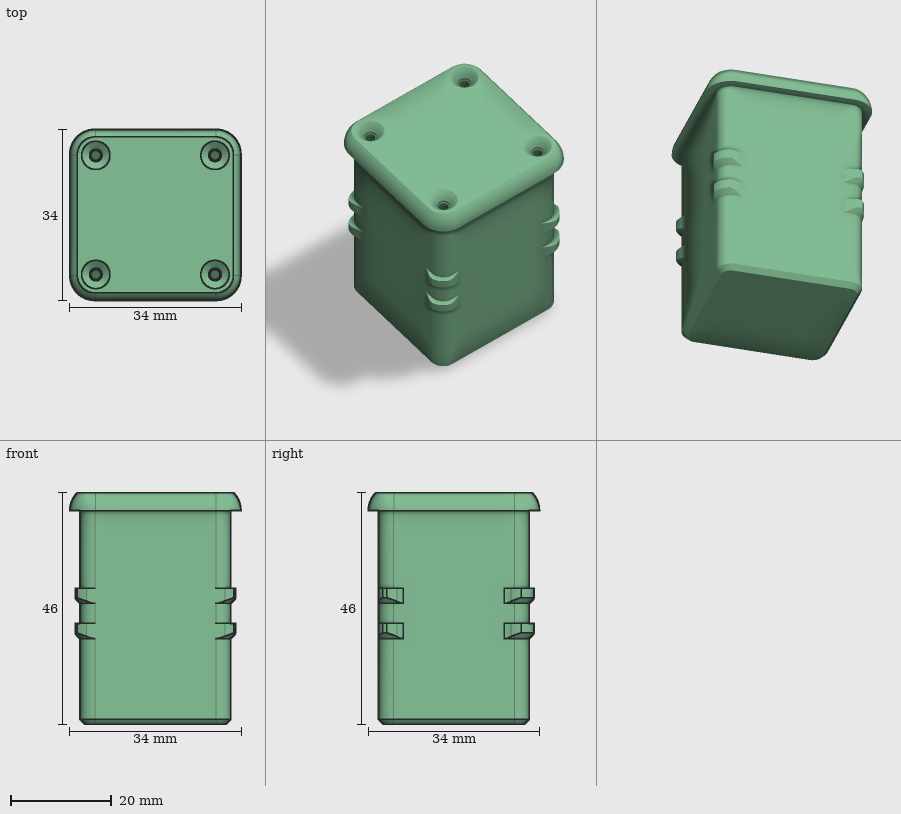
import cadquery as cq
import math

total_height = 46.0
box_width = 30.0
box_corner_radius = 3.0
bottom_chamfer = 1.0

lid_width = 34.0
lid_height = 3.6
lid_radius = 5.0
lid_plate = 2.0
lid_bottom = total_height - lid_height
box_height = total_height - lid_plate

screw_offset = 11.8
clearance_diameter = 2.5
countersink_diameter = 5.6
countersink_angle = 90.0
pilot_diameter = 2.0
pilot_depth = 8.0

ridge_height = 3.0
ridge_bottoms = (17.0, 24.0)
undercut_angle = 45.0
ring_diameter = 8.25
ring_start = 13.35
flank_angle = 30.0
crown_radius = 4.1
toe_radius = 2.55
ridge_depth = 5.5
front_ring_end = 14.1
front_tip = 13.75
front_bulge = 0.1

half_box = box_width / 2
corner_centre = half_box - box_corner_radius
ring_radius = ring_diameter / 2
ridge_inner = half_box - ridge_depth


def screw_points(workplane):
    return workplane.rect(2 * screw_offset, 2 * screw_offset, forConstruction=True).vertices()


def along_arc(centre, radius, degrees):
    """Point on an arc, at an angle from the +X direction."""
    angle = math.radians(degrees)
    return (centre[0] + radius * math.cos(angle), centre[1] + radius * math.sin(angle))


def swapped(point):
    """Mirror image of a point across the corner diagonal."""
    return (point[1], point[0])


def on_ring(y):
    """Point of the ring of the +X +Y corner at a given Y."""
    return (corner_centre + math.sqrt(ring_radius**2 - (y - corner_centre) ** 2), y)


def flank_points():
    """Points of the flank on the +X face, going up in Y from the toe to the ring."""
    ring_end = on_ring(ring_start)
    crown_centre = (ring_end[0] - crown_radius, ring_start)
    crown_middle = along_arc(crown_centre, crown_radius, -flank_angle / 2)
    toe_end = along_arc(crown_centre, crown_radius, -flank_angle)
    toe_centre = along_arc(crown_centre, crown_radius + toe_radius, -flank_angle)
    toe_middle = along_arc(toe_centre, toe_radius, 180 - flank_angle / 2)
    toe_start = along_arc(toe_centre, toe_radius, 180)
    return toe_start, toe_middle, toe_end, crown_middle, ring_end


def flank():
    """Open outline from inside the box, over the flank on the +X face, to the start of the ring."""
    toe_start, toe_middle, toe_end, crown_middle, ring_end = flank_points()
    return (
        cq.Workplane("XY")
        .moveTo(ridge_inner, toe_start[1])
        .lineTo(*toe_start)
        .threePointArc(toe_middle, toe_end)
        .threePointArc(crown_middle, ring_end)
    )


def rear_outline():
    """Ridge outline at the +X +Y corner, symmetric about the diagonal."""
    toe_start, toe_middle, toe_end, crown_middle, ring_end = flank_points()
    ring_middle = along_arc((corner_centre, corner_centre), ring_radius, 45)
    return (
        flank()
        .threePointArc(ring_middle, swapped(ring_end))
        .threePointArc(swapped(crown_middle), swapped(toe_end))
        .threePointArc(swapped(toe_middle), swapped(toe_start))
        .lineTo(toe_start[1], ridge_inner)
        .lineTo(ridge_inner, ridge_inner)
        .close()
    )


def front_outline():
    """Ridge outline at the +X front corner, drawn at +Y; it ends flush with the front face."""
    return (
        flank()
        .threePointArc(on_ring((ring_start + front_ring_end) / 2), on_ring(front_ring_end))
        .sagittaArc((front_tip, half_box), -front_bulge)
        .lineTo(ridge_inner, half_box)
        .close()
    )


def make_ridges():
    """One level of four corner ridges, standing on Z = 0."""
    rear = rear_outline().extrude(ridge_height)
    front = front_outline().extrude(ridge_height).mirror("XZ")
    right_side = rear.union(front)
    undercut_limit = (
        cq.Workplane("XY")
        .sketch()
        .rect(box_width, box_width)
        .vertices()
        .fillet(box_corner_radius)
        .finalize()
        .extrude(ridge_height, taper=-undercut_angle)
    )
    return right_side.union(right_side.mirror("YZ")).intersect(undercut_limit)


def rounded_post(height):
    """Square post with the rounded corners of the box, standing on Z = 0."""
    return (
        cq.Workplane("XY")
        .box(box_width, box_width, height, centered=(True, True, False))
        .edges("|Z")
        .fillet(box_corner_radius)
    )


def make_box():
    box = rounded_post(box_height).faces("<Z").chamfer(bottom_chamfer)
    ridges = make_ridges()
    for bottom in ridge_bottoms:
        box = box.union(ridges.translate((0, 0, bottom)))
    return screw_points(box.faces(">Z").workplane(origin=(0, 0, 0))).hole(pilot_diameter, pilot_depth)


def make_lid():
    full_round = (
        cq.Workplane("XY", origin=(0, 0, lid_bottom - lid_radius))
        .box(lid_width, lid_width, 2 * lid_radius, centered=(True, True, False))
        .edges("|Z or >Z")
        .fillet(lid_radius)
    )
    slab = cq.Workplane("XY", origin=(0, 0, lid_bottom)).box(
        lid_width, lid_width, lid_height, centered=(True, True, False)
    )
    lid = full_round.intersect(slab).cut(rounded_post(box_height))
    return screw_points(lid.faces(">Z").workplane(origin=(0, 0, 0))).cskHole(
        clearance_diameter, countersink_diameter, countersink_angle
    )


box = make_box()
lid = make_lid()

result = cq.Compound.makeCompound([box.val(), lid.val()])